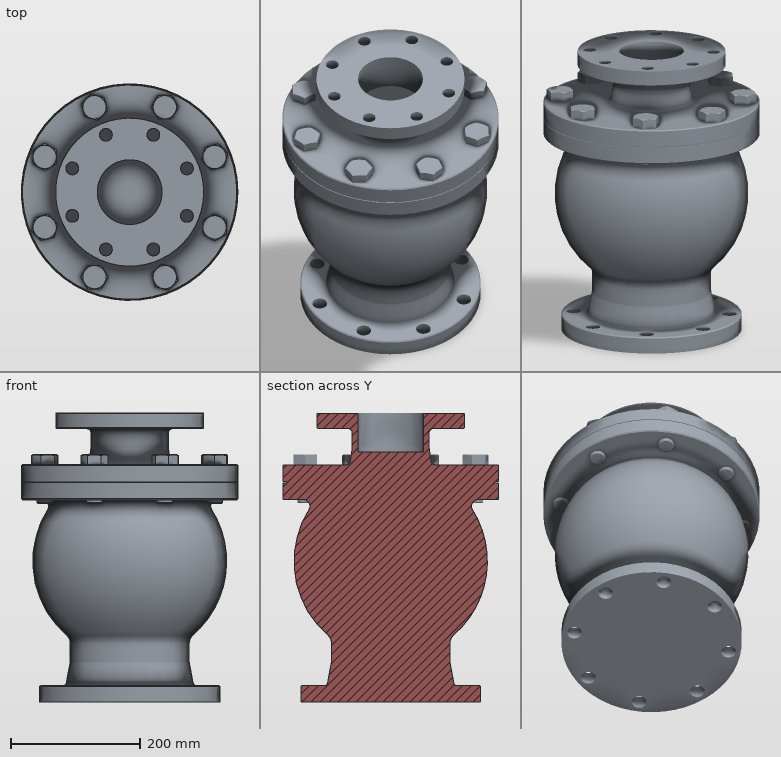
import cadquery as cq
import math

total_height = 447.0
bottom_flange_thickness = 26.0
foot_cone_top = 61.5
body_centre_height = 217.5
body_flange_bottom = 313.0
joint_height = 340.0
cover_top = 367.5
neck_cone_top = 393.0
top_flange_bottom = 423.0

bottom_flange_diameter = 279.0
foot_cone_diameter = 197.5
foot_diameter = 184.0
body_diameter = 300.0
cover_diameter = 335.0
neck_cone_diameter = 127.0
neck_diameter = 120.0
top_flange_diameter = 229.0

joint_gap = 1.5
sealing_face_diameter = 322.0

foot_blend_radius = 18.0
shoulder_blend_radius = 10.0
foot_fillet = 4.5
neck_fillet = 6.3
rim_chamfer = 2.0

edge_match_tolerance = 0.05

port_diameter = 100.0
port_depth = 60.0

bolt_count = 8
pitch_angle = 360 / bolt_count
first_angle = pitch_angle / 2
top_hole_diameter = 19.5
top_hole_circle = 191.8
bottom_hole_diameter = 23.0
bottom_hole_circle = 241.5

bolt_circle = 284.5
bolt_diameter = 24.0
bolt_protrusion = 5.5
bolt_tip_chamfer = 1.5
head_sides = 6
head_across_flats = 36.0
head_height = 15.0
head_corner_drop = 1.5
head_corner_angle = -7.5


def disc(diameter, bottom, top):
    """Cylinder on the Z axis between two heights."""
    return cq.Workplane("XY").workplane(offset=bottom).circle(diameter / 2).extrude(top - bottom)


def cone(bottom_diameter, top_diameter, bottom, top):
    """Truncated cone on the Z axis between two heights."""
    plane = cq.Workplane("XY").workplane(offset=bottom).circle(bottom_diameter / 2)
    return plane.workplane(offset=top - bottom).circle(top_diameter / 2).loft(ruled=True)


def rim(part, diameter, height):
    """Circular edge of a turned part, picked by its diameter and height."""

    def matches(edge):
        same_diameter = math.isclose(2 * edge.radius(), diameter, abs_tol=edge_match_tolerance)
        same_height = math.isclose(edge.Center().z, height, abs_tol=edge_match_tolerance)
        return same_diameter and same_height

    return part.edges("%CIRCLE").filter(matches)


def bolt_places(plane, circle_diameter):
    """The eight places of a bolt pattern on a plane."""
    return plane.polarArray(circle_diameter / 2, first_angle, 360, bolt_count)


def make_bulb():
    """Spherical body, blended into the foot below and into the body flange above."""
    body_radius = body_diameter / 2
    foot_radius = foot_diameter / 2

    foot_blend_r = foot_radius + foot_blend_radius
    foot_blend_drop = math.sqrt((body_radius + foot_blend_radius) ** 2 - foot_blend_r**2)
    foot_blend_z = body_centre_height - foot_blend_drop
    shoulder_z = body_flange_bottom - shoulder_blend_radius
    shoulder_rise = shoulder_z - body_centre_height
    shoulder_r = math.sqrt((body_radius + shoulder_blend_radius) ** 2 - shoulder_rise**2)

    foot_touch = -math.atan2(foot_blend_drop, foot_blend_r)
    shoulder_touch = math.atan2(shoulder_rise, shoulder_r)

    def arc_point(centre_r, centre_z, radius, angle):
        return (centre_r + radius * math.cos(angle), centre_z + radius * math.sin(angle))

    def body_point(angle):
        return arc_point(0, body_centre_height, body_radius, angle)

    def foot_blend_point(angle):
        return arc_point(foot_blend_r, foot_blend_z, foot_blend_radius, angle)

    def shoulder_point(angle):
        return arc_point(shoulder_r, shoulder_z, shoulder_blend_radius, angle)

    foot_end = foot_touch + math.pi
    shoulder_start = shoulder_touch + math.pi
    shoulder_end = math.pi / 2
    return (
        cq.Workplane("XZ")
        .moveTo(0, foot_blend_z)
        .lineTo(foot_radius, foot_blend_z)
        .threePointArc(foot_blend_point((math.pi + foot_end) / 2), body_point(foot_touch))
        .threePointArc(body_point(0), body_point(shoulder_touch))
        .threePointArc(shoulder_point((shoulder_start + shoulder_end) / 2), shoulder_point(shoulder_end))
        .lineTo(0, body_flange_bottom)
        .close()
        .revolve(360, (0, 0), (0, 1))
    )


def make_foot():
    """Bottom flange with its bolt holes, and the tapered foot that carries the body."""
    foot = disc(bottom_flange_diameter, 0, bottom_flange_thickness)
    foot = foot.union(cone(foot_cone_diameter, foot_diameter, bottom_flange_thickness, foot_cone_top))
    foot = foot.union(disc(foot_diameter, foot_cone_top, body_centre_height))
    foot = rim(foot, foot_cone_diameter, bottom_flange_thickness).fillet(foot_fillet)
    foot = rim(foot, bottom_flange_diameter, bottom_flange_thickness).chamfer(rim_chamfer)
    holes = bolt_places(cq.Workplane("XY"), bottom_hole_circle).circle(bottom_hole_diameter / 2)
    return foot.cut(holes.extrude(bottom_flange_thickness))


def make_body_flange():
    """Flange on top of the body, with the sealing face that closes the joint gap."""
    flange = disc(cover_diameter, body_flange_bottom, joint_height - joint_gap / 2)
    flange = rim(flange, cover_diameter, body_flange_bottom).chamfer(rim_chamfer)
    return flange.union(disc(sealing_face_diameter, body_flange_bottom, joint_height))


def make_cover():
    """Cover plate, tapered neck and top flange with its bolt holes and port."""
    cover = disc(cover_diameter, joint_height + joint_gap / 2, cover_top)
    cover = cover.union(disc(sealing_face_diameter, joint_height, cover_top))
    cover = cover.union(cone(neck_cone_diameter, neck_diameter, cover_top, neck_cone_top))
    cover = cover.union(disc(neck_diameter, neck_cone_top, top_flange_bottom))
    cover = cover.union(disc(top_flange_diameter, top_flange_bottom, total_height))
    cover = rim(cover, neck_cone_diameter, cover_top).fillet(neck_fillet)
    cover = rim(cover, neck_diameter, top_flange_bottom).fillet(neck_fillet)
    cover = rim(cover, cover_diameter, cover_top).chamfer(rim_chamfer)
    cover = rim(cover, top_flange_diameter, top_flange_bottom).chamfer(rim_chamfer)
    holes = bolt_places(cq.Workplane("XY").workplane(offset=total_height), top_hole_circle)
    cover = cover.cut(holes.circle(top_hole_diameter / 2).extrude(top_flange_bottom - total_height))
    return cover.cut(disc(port_diameter, total_height - port_depth, total_height))


def make_bolt():
    """Hexagon bolt through the cover and body flange, at the first place of its pattern."""
    across_corners = head_across_flats / math.cos(math.pi / head_sides)
    hexagon = cq.Workplane("XY").workplane(offset=cover_top).polygon(head_sides, across_corners)
    head = hexagon.extrude(head_height).rotate((0, 0, 0), (0, 0, 1), head_corner_angle)

    corner_width = (across_corners - head_across_flats) / 2
    blank = disc(across_corners, cover_top, cover_top + head_height)
    head = head.intersect(blank.faces(">Z").chamfer(head_corner_drop, corner_width))

    shank = disc(bolt_diameter, body_flange_bottom - bolt_protrusion, cover_top)
    shank = shank.faces("<Z").chamfer(bolt_tip_chamfer)
    return head.union(shank).translate((bolt_circle / 2, 0, 0))


result = make_foot().union(make_bulb()).union(make_body_flange()).union(make_cover())
bolt = make_bolt()
for place in range(bolt_count):
    result = result.union(bolt.rotate((0, 0, 0), (0, 0, 1), first_angle + place * pitch_angle))